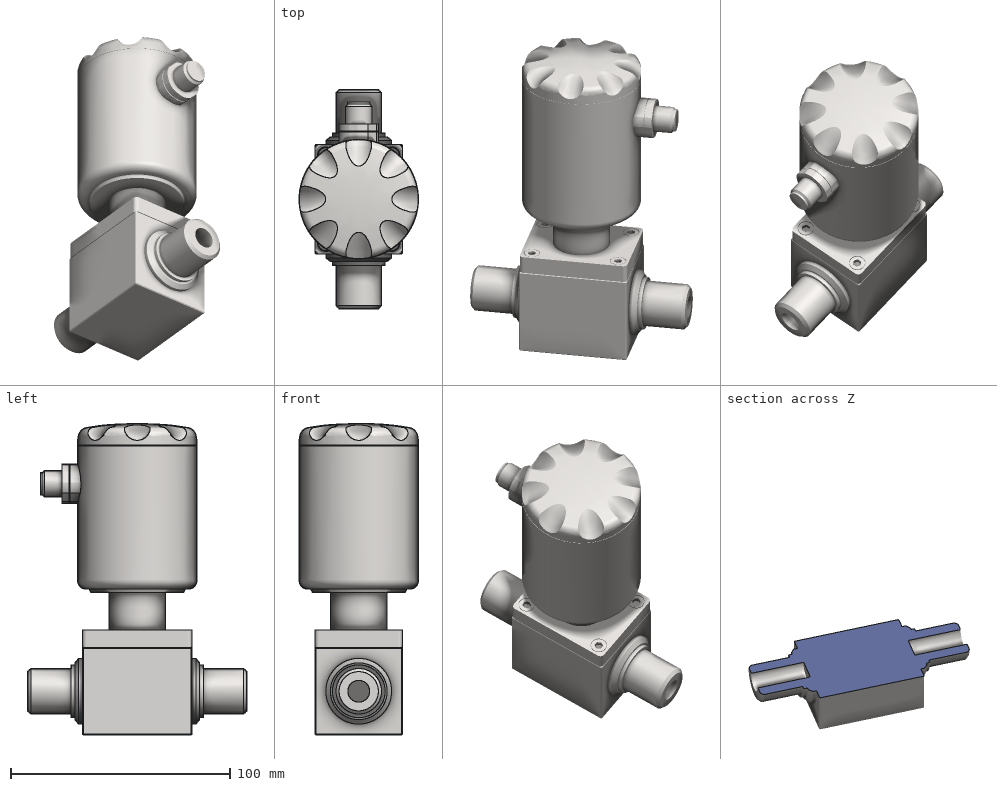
import cadquery as cq
import math

block_x = 40.0
block_y = 50.0
block_z = 40.0
block_edge_chamfer = 0.4

lid_z = 8.0
lid_corner_radius = 2.0
screw_inset = 5.0
screw_bore_diameter = 7.5
screw_head_diameter = 7.0
screw_ring_depth = 0.5
socket_across_corners = 4.0
socket_depth = 2.0

port_length = 100.0
port_diameter = 20.8
port_chamfer = 1.4
port_bore_diameter = 10.0
flange_diameter = 30.0
flange_cone_diameter = 25.9
collar_diameter = 24.0
collar_step = 1.7

total_height = 142.2
neck_diameter = 25.9
housing_diameter = 54.5
base_z = 65.1
base_plate_height = 1.4
base_plate_diameter = 43.8
base_plate_chamfer = 0.7
rim_radius = 4.0

cap_seam_z = 132.1
cap_seam_width = 0.3
cap_seam_depth = 0.1
cap_shoulder_z = 139.7
scallop_count = 8
scallop_radius = 7.0
scallop_slope = 30.0
scallop_inner_reach = 15.2
scallop_inner_z = 141.4
scallop_length = 28.5

connector_z = 114.6
nut_diameter = 18.0
nut_narrow_width = 17.2
nut_wide_width = 17.6
nut_narrow_angle = 45.0
nut_wide_angles = (-15.0, 105.0)
nut_end_y = 34.4
nut_seam_y = 30.9
nut_seam_width = 0.4
nut_seam_diameter = 17.0
stud_diameter = 12.0
stud_end_y = 42.4
tip_neck_diameter = 10.0
tip_diameter = 10.2
tip_length = 0.9
tip_end_y = 44.2

lid_top_z = block_z + lid_z
port_z = block_z / 2
housing_radius = housing_diameter / 2


def cylinder_y(diameter, start_y, end_y, center_z):
    """Cylinder running along +Y from start_y to end_y."""
    start = cq.Vector(0, start_y, center_z)
    return cq.Workplane(cq.Solid.makeCylinder(diameter / 2, end_y - start_y, start, cq.Vector(0, 1, 0)))


def make_block():
    block = cq.Workplane().box(block_x, block_y, block_z, centered=(True, True, False))
    return block.edges().chamfer(block_edge_chamfer)


def make_lid():
    lid = cq.Workplane().workplane(offset=block_z).box(block_x, block_y, lid_z, centered=(True, True, False))
    lid = lid.edges("|Z").fillet(lid_corner_radius)
    spacing_x = block_x - 2 * screw_inset
    spacing_y = block_y - 2 * screw_inset
    screws = cq.Workplane().workplane(offset=lid_top_z).rarray(spacing_x, spacing_y, 2, 2)
    rings = screws.circle(screw_bore_diameter / 2).circle(screw_head_diameter / 2).extrude(-screw_ring_depth)
    sockets = screws.polygon(6, socket_across_corners).extrude(-socket_depth)
    return lid.cut(rings).cut(sockets)


def make_port():
    """Port on the +Y side, revolved about its own axis."""
    inner_y = block_y / 2 - 2 * block_edge_chamfer
    flange_y = block_y / 2 + collar_step
    cone_y = flange_y + collar_step
    collar_y = cone_y + collar_step
    end_y = port_length / 2
    port_radius = port_diameter / 2
    profile = (
        cq.Workplane()
        .moveTo(0, inner_y)
        .lineTo(flange_diameter / 2, inner_y)
        .lineTo(flange_diameter / 2, flange_y)
        .lineTo(flange_cone_diameter / 2, cone_y)
        .lineTo(collar_diameter / 2, cone_y)
        .lineTo(collar_diameter / 2, collar_y)
        .lineTo(port_radius, collar_y)
        .lineTo(port_radius, end_y - port_chamfer)
        .lineTo(port_radius - port_chamfer, end_y)
        .lineTo(0, end_y)
        .close()
    )
    port = profile.revolve(360, (0, 0, 0), (0, 1, 0)).translate((0, 0, port_z))
    return port.cut(cylinder_y(port_bore_diameter, block_y / 2, end_y, port_z))


def make_housing():
    """Neck, base plate, barrel and domed cap as one revolved body."""
    barrel_z = base_z + base_plate_height
    base_radius = base_plate_diameter / 2
    groove_radius = housing_radius - cap_seam_depth
    rim_diagonal = rim_radius * math.sqrt(0.5)

    dome_sag = total_height - cap_shoulder_z
    dome_radius = (housing_radius**2 + dome_sag**2) / (2 * dome_sag)
    dome_center_z = total_height - dome_radius

    round_x = housing_radius - rim_radius
    round_z = dome_center_z + math.sqrt((dome_radius - rim_radius) ** 2 - round_x**2)
    dome_angle = math.atan2(round_x, round_z - dome_center_z)
    middle_angle = (dome_angle + math.pi / 2) / 2

    def shoulder_point(angle):
        return round_x + rim_radius * math.sin(angle), round_z + rim_radius * math.cos(angle)

    dome_middle = (
        dome_radius * math.sin(dome_angle / 2),
        dome_center_z + dome_radius * math.cos(dome_angle / 2),
    )
    profile = (
        cq.Workplane("XZ")
        .moveTo(0, lid_top_z)
        .lineTo(neck_diameter / 2, lid_top_z)
        .lineTo(neck_diameter / 2, base_z)
        .lineTo(base_radius - base_plate_chamfer, base_z)
        .lineTo(base_radius, barrel_z)
        .lineTo(round_x, barrel_z)
        .threePointArc(
            (round_x + rim_diagonal, barrel_z + rim_radius - rim_diagonal),
            (housing_radius, barrel_z + rim_radius),
        )
        .lineTo(housing_radius, cap_seam_z - cap_seam_width / 2)
        .lineTo(groove_radius, cap_seam_z - cap_seam_width / 2)
        .lineTo(groove_radius, cap_seam_z + cap_seam_width / 2)
        .lineTo(housing_radius, cap_seam_z + cap_seam_width / 2)
        .lineTo(housing_radius, round_z)
        .threePointArc(shoulder_point(middle_angle), shoulder_point(dome_angle))
        .threePointArc(dome_middle, (0, total_height))
        .close()
    )
    return profile.revolve(360, (0, 0, 0), (0, 1, 0))


def make_scallops():
    """Finger grips: cylinders sloping down and outward around the cap."""
    slope = math.radians(scallop_slope)
    direction = cq.Vector(math.cos(slope), 0, -math.sin(slope))
    normal = cq.Vector(math.sin(slope), 0, math.cos(slope))
    inner_point = cq.Vector(scallop_inner_reach, 0, scallop_inner_z)
    start = inner_point + normal * scallop_radius - direction * (scallop_length / 2)
    grip = cq.Workplane(cq.Solid.makeCylinder(scallop_radius, scallop_length, start, direction))
    scallops = cq.Workplane()
    for index in range(scallop_count):
        scallops = scallops.add(grip.rotate((0, 0, 0), (0, 0, 1), index * 360 / scallop_count))
    return scallops.combine()


def flat_pair(width, angle):
    """Slab between two wrench flats; angle turns it about Y from facing +Z and -Z."""
    slab = cq.Workplane().box(2 * nut_diameter, 2 * nut_end_y, width)
    return slab.rotate((0, 0, 0), (0, 1, 0), angle).translate((0, 0, connector_z))


def make_connector():
    nut = cylinder_y(nut_diameter, 0, nut_end_y, connector_z)
    nut = nut.intersect(flat_pair(nut_narrow_width, nut_narrow_angle))
    for angle in nut_wide_angles:
        nut = nut.intersect(flat_pair(nut_wide_width, angle))
    seam_start = nut_seam_y - nut_seam_width / 2
    seam_end = nut_seam_y + nut_seam_width / 2
    seam = cylinder_y(2 * nut_diameter, seam_start, seam_end, connector_z)
    seam = seam.cut(cylinder_y(nut_seam_diameter, seam_start, seam_end, connector_z))
    nut = nut.cut(seam)

    stud_radius = stud_diameter / 2
    tip_start_y = tip_end_y - tip_length
    stud = (
        cq.Workplane()
        .lineTo(stud_radius, 0)
        .lineTo(stud_radius, stud_end_y)
        .lineTo(tip_neck_diameter / 2, tip_start_y)
        .lineTo(tip_diameter / 2, tip_start_y)
        .lineTo(tip_diameter / 2, tip_end_y)
        .lineTo(0, tip_end_y)
        .close()
        .revolve(360, (0, 0, 0), (0, 1, 0))
        .translate((0, 0, connector_z))
    )
    return nut.union(stud)


port = make_port()
result = (
    make_block()
    .union(make_lid())
    .union(port)
    .union(port.mirror("XZ"))
    .union(make_housing())
    .cut(make_scallops())
    .union(make_connector())
)